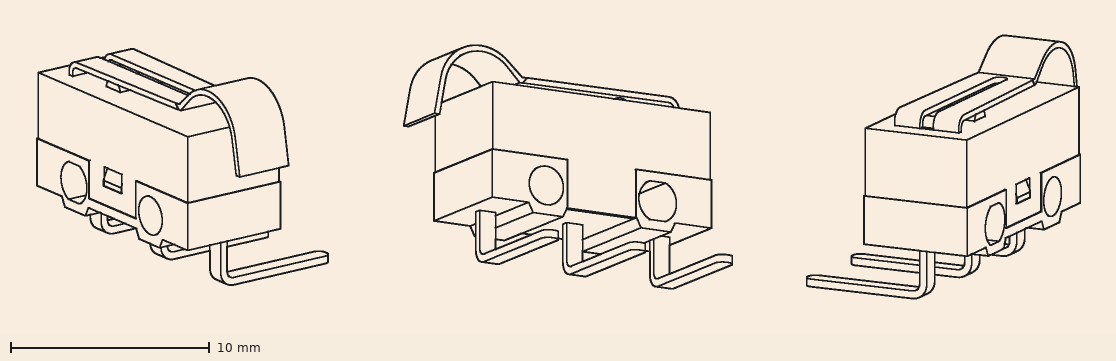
import cadquery as cq
import math


base_length = 12.8
base_width = 5.8
base_height = 2.5
foot_drop = 0.5
foot_offset = 3.15
foot_top_width = 2.26
foot_bottom_width = 1.74

hole_offset = 3.25
hole_height = 1.0
hole_diameter = 2.0
wide_hole_diameter = 2.2

cover_length = 12.7
cover_width = 5.7
cover_top = 6.0
tab_width = 4.0
tab_thickness = 0.25
front_tab_bottom = 0.5
back_tab_bottom = 0.0

tooth_width = 1.5
tooth_bottom = 1.5
tooth_ramp_start = 1.8

plunger_radius = 0.6
plunger_length = 2.8
plunger_x = -1.95

pin_count = 3
pin_pitch = 5.08
pin_width = 0.93
pin_thickness = 0.4
pin_bottom = -2.75
pin_end_y = 6.7
pin_bend_radius = 0.4
pin_tip_radius = 0.4

lever_thickness = 0.3
lever_left = -5.15
lever_top = 6.81
lever_bend_radius = 0.32
lever_root_depth = 1.0
slot_ledge_depth = 0.5
plate_root_width = 3.6
plate_end_width = 3.2
strip_start_width = 3.16
tail_end_width = 3.06
slot_width = 0.75
root_slot_width = 0.4
slot_end_x = 3.48

seam_top_x = 3.6
seam_bottom_x = 3.85
rise_top_x = 3.88
rise_bottom_x = 4.02
arch_x = 6.29
arch_z = 5.81
arch_radius = 2.35
arch_start_x = 4.67
arch_start_drop = 0.35
arch_end_angle = 10.5
tail_end_x = 8.97
tail_end_z = 4.31

tab_outer_y = cover_width / 2
tab_inner_y = tab_outer_y - tab_thickness
plunger_z = lever_top - lever_thickness - plunger_radius


def box(x_range, y_range, z_range):
    """A block between pairs of limits along each axis."""
    sizes = [high - low for low, high in (x_range, y_range, z_range)]
    corner = cq.Vector(x_range[0], y_range[0], z_range[0])
    return cq.Workplane(cq.Solid.makeBox(*sizes, corner))


def centred(width):
    """Limits of a width that is centred on zero."""
    return (-width / 2, width / 2)


def extrude_across(outline, width):
    """Extrude an XZ outline by a width that is centred on Y = 0."""
    return outline.extrude(width).translate((0, width / 2, 0))


def make_tabs():
    """The two cover tabs, as solid plates without the window."""
    front = box(centred(tab_width), (-tab_outer_y, -tab_inner_y), (front_tab_bottom, base_height))
    back = box(centred(tab_width), (tab_inner_y, tab_outer_y), (back_tab_bottom, base_height))
    return front, back


def make_tooth():
    """The snap tooth: flush with the base side, then sloping in to the top of the base."""
    side_y = -base_width / 2
    return (
        cq.Workplane("YZ", origin=(-tooth_width / 2, 0, 0))
        .moveTo(-tab_inner_y, tooth_bottom)
        .lineTo(side_y, tooth_bottom)
        .lineTo(side_y, tooth_ramp_start)
        .lineTo(-tab_inner_y, base_height)
        .close()
        .extrude(tooth_width)
    )


def make_base():
    base = box(centred(base_length), centred(base_width), (0, base_height))
    for side in (-1, 1):
        foot_x = side * foot_offset
        foot = cq.Workplane("XZ").polyline([
            (foot_x - foot_top_width / 2, 0),
            (foot_x + foot_top_width / 2, 0),
            (foot_x + foot_bottom_width / 2, -foot_drop),
            (foot_x - foot_bottom_width / 2, -foot_drop),
        ]).close()
        base = base.union(extrude_across(foot, base_width))

    round_hole = cq.Workplane("XZ").center(hole_offset, hole_height).circle(hole_diameter / 2)
    base = base.cut(extrude_across(round_hole, base_width))

    wide_hole = cq.Workplane("XZ").center(-hole_offset, hole_height).circle(wide_hole_diameter / 2)
    flats = cq.Workplane("XZ").center(-hole_offset, hole_height).rect(wide_hole_diameter, hole_diameter)
    base = base.cut(extrude_across(wide_hole, base_width).intersect(extrude_across(flats, base_width)))

    side_y = base_width / 2
    base = base.cut(box(centred(tab_width), (-side_y, -tab_inner_y), (front_tab_bottom, base_height)))
    base = base.cut(box(centred(tab_width), (tab_inner_y, side_y), (back_tab_bottom, base_height)))
    return base.union(make_tooth())


def make_plunger():
    outline = cq.Workplane("XZ").center(plunger_x, plunger_z).circle(plunger_radius)
    return extrude_across(outline, plunger_length)


def make_cover(plunger):
    cover = box(centred(cover_length), centred(cover_width), (base_height, cover_top))
    for tab in make_tabs():
        cover = cover.union(tab)
    window = box(centred(tooth_width), (-tab_outer_y, -tab_inner_y), (tooth_bottom, base_height))
    root_slit = box(
        (lever_left, lever_left + lever_thickness),
        centred(plate_root_width),
        (cover_top - lever_root_depth, cover_top),
    )
    return cover.cut(window).cut(root_slit).cut(plunger)


def make_pin(x):
    """A flat terminal that drops from the base, bends towards +Y and has a rounded tip."""
    half = pin_thickness / 2
    outer_radius = pin_bend_radius + pin_thickness
    inner_z = pin_bottom + pin_thickness
    bend_y = half + pin_bend_radius
    bend_z = inner_z + pin_bend_radius
    diagonal = math.sqrt(0.5)
    pin = (
        cq.Workplane("YZ", origin=(x - pin_width / 2, 0, 0))
        .moveTo(-half, 0)
        .lineTo(-half, bend_z)
        .threePointArc(
            (bend_y - outer_radius * diagonal, bend_z - outer_radius * diagonal),
            (bend_y, pin_bottom),
        )
        .lineTo(pin_end_y, pin_bottom)
        .lineTo(pin_end_y, inner_z)
        .lineTo(bend_y, inner_z)
        .threePointArc(
            (bend_y - pin_bend_radius * diagonal, bend_z - pin_bend_radius * diagonal),
            (half, bend_z),
        )
        .lineTo(half, 0)
        .close()
        .extrude(pin_width)
    )
    return pin.faces(">Y").edges("|Z").fillet(pin_tip_radius)


def tapered_plan(*stations):
    """A tall prism that trims the lever sides; each station is an X place and the width there."""
    near_side = [(x, -width / 2) for x, width in stations]
    far_side = [(x, width / 2) for x, width in reversed(stations)]
    return cq.Workplane("XY").polyline(near_side + far_side).close().extrude(arch_z + arch_radius)


def make_lever_plate():
    """The flat of the lever with its root bent down into the cover."""
    underside = lever_top - lever_thickness
    root_bottom = cover_top - lever_root_depth
    inner_x = lever_left + lever_thickness
    outer_radius = lever_bend_radius + lever_thickness
    bend_x = lever_left + outer_radius
    bend_z = lever_top - outer_radius
    diagonal = math.sqrt(0.5)
    outline = (
        cq.Workplane("XZ")
        .moveTo(lever_left, root_bottom)
        .lineTo(lever_left, bend_z)
        .threePointArc(
            (bend_x - outer_radius * diagonal, bend_z + outer_radius * diagonal),
            (bend_x, lever_top),
        )
        .lineTo(seam_top_x, lever_top)
        .lineTo(seam_bottom_x, underside)
        .lineTo(bend_x, underside)
        .threePointArc(
            (bend_x - lever_bend_radius * diagonal, bend_z + lever_bend_radius * diagonal),
            (inner_x, bend_z),
        )
        .lineTo(inner_x, root_bottom)
        .close()
    )
    plate = extrude_across(outline, plate_root_width)
    plate = plate.intersect(
        box((lever_left, bend_x), centred(plate_root_width), (root_bottom, lever_top)).union(
            tapered_plan((bend_x, plate_root_width), (seam_bottom_x, plate_end_width))
        )
    )

    slot_round_x = slot_end_x - slot_width / 2
    ledge_z = cover_top - slot_ledge_depth
    slot = box((lever_left, slot_round_x), centred(slot_width), (ledge_z, lever_top)).union(
        cq.Workplane("XY", origin=(slot_round_x, 0, ledge_z))
        .circle(slot_width / 2)
        .extrude(lever_top - ledge_z)
    )
    root_slot = box((lever_left, inner_x), centred(root_slot_width), (root_bottom, ledge_z))
    return plate.cut(slot).cut(root_slot)


def make_lever_strip():
    """The end of the lever: a rise, an arch that acts as the roller, and a straight tail."""
    underside = lever_top - lever_thickness
    inner_radius = arch_radius - lever_thickness
    end_angle = math.radians(arch_end_angle)
    arch_start_z = arch_z + math.sqrt(arch_radius**2 - (arch_x - arch_start_x) ** 2)
    arch_end_x = arch_x + arch_radius * math.cos(end_angle)
    arch_end_z = arch_z + arch_radius * math.sin(end_angle)
    outline = (
        cq.Workplane("XZ")
        .moveTo(seam_top_x, lever_top)
        .lineTo(rise_top_x, lever_top)
        .lineTo(arch_start_x, arch_start_z)
        .threePointArc((arch_x, arch_z + arch_radius), (arch_end_x, arch_end_z))
        .lineTo(tail_end_x, tail_end_z)
        .lineTo(tail_end_x - lever_thickness, tail_end_z)
        .lineTo(arch_end_x - lever_thickness, arch_end_z)
        .threePointArc(
            (arch_x, arch_z + inner_radius),
            (arch_start_x, arch_start_z - arch_start_drop),
        )
        .lineTo(rise_bottom_x, underside)
        .lineTo(seam_bottom_x, underside)
        .close()
    )
    strip = extrude_across(outline, strip_start_width)
    return strip.intersect(
        tapered_plan((seam_top_x, strip_start_width), (tail_end_x, tail_end_width))
    )


base = make_base()
plunger = make_plunger()
cover = make_cover(plunger)
lever = make_lever_plate().union(make_lever_strip())
pins = [make_pin((i - (pin_count - 1) / 2) * pin_pitch) for i in range(pin_count)]

bodies = [base, cover, plunger, lever, *pins]

result = cq.Compound.makeCompound([body.solids().val() for body in bodies])